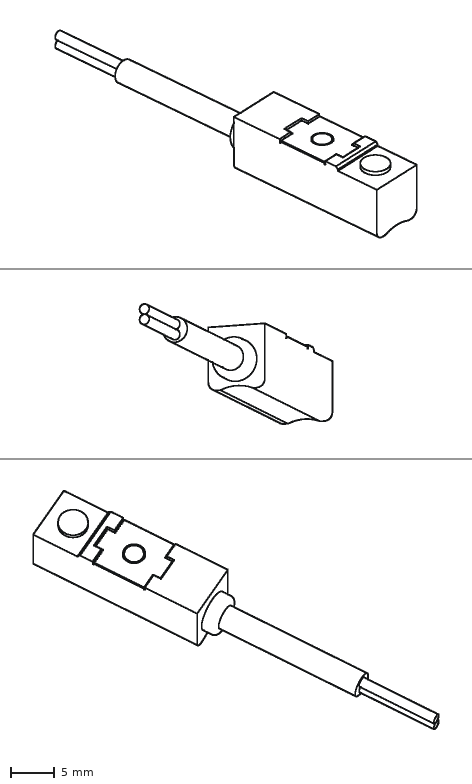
import cadquery as cq

housing_length = 22.0
housing_width = 7.0
housing_height = 7.5
bottom_corner_radius = 1.0
bottom_groove_width = 4.0
bottom_groove_depth = 0.4

step_start = 16.0
step_floor = 7.0
step_edge_chamfer = 0.3
button_diameter = 3.5
button_x = 18.7

cover_x = 10.53
recess_floor = 7.0
recess_length = 7.0
recess_tab_span = 9.0
recess_tab_width = 3.0
cover_clearance = 0.15
cover_top = 7.3
cover_side_chamfer = 0.1
screw_hole_diameter = 2.6
screw_diameter = 2.3

cable_axis_z = 3.4
boot_diameter = 5.0
boot_length = 1.7
boot_edge_radius = 0.5
cable_diameter = 3.0
cable_length = 20.0
wire_diameter = 1.2
wire_length = 10.0
wire_gap = 0.02
wire_spacing = wire_diameter + wire_gap


def box(x_start, x_end, width, z_start, z_end):
    """Box centred on Y = 0 between the given X and Z limits."""
    size = (x_end - x_start, width, z_end - z_start)
    return cq.Workplane("XY").box(*size, centered=(False, True, False)).translate((x_start, 0, z_start))


def upright_cylinder(x, diameter, z_start, z_end):
    """Vertical cylinder on the housing centre plane."""
    return cq.Workplane("XY", origin=(x, 0, z_start)).circle(diameter / 2).extrude(z_end - z_start)


def cable_cylinder(diameter, length, z, start=0.0):
    """Cylinder running in -X from X = -start."""
    return cq.Workplane("YZ", origin=(-start, 0, z)).circle(diameter / 2).extrude(-length)


def cross(clearance, z_start, z_end):
    """Cross with its ends and tab sides drawn in by a clearance, full housing width in Y."""
    half_length = recess_length / 2 - clearance
    half_tabs = recess_tab_span / 2 - clearance
    main = box(cover_x - half_length, cover_x + half_length, housing_width, z_start, z_end)
    tabs = box(cover_x - half_tabs, cover_x + half_tabs, recess_tab_width - 2 * clearance, z_start, z_end)
    return main.union(tabs)


def make_housing():
    """Block with rounded lower edges, a shallow groove underneath and a lowered end."""
    block = box(0, housing_length, housing_width, 0, housing_height)
    block = block.edges("|X and <Z").fillet(bottom_corner_radius)
    block = block.cut(box(step_start, housing_length, housing_width, step_floor, housing_height))
    step_edge = cq.selectors.NearestToPointSelector((step_start, 0, housing_height))
    block = block.edges(step_edge).chamfer(step_edge_chamfer)
    groove = (
        cq.Workplane("YZ")
        .moveTo(-bottom_groove_width / 2, 0)
        .threePointArc((0, bottom_groove_depth), (bottom_groove_width / 2, 0))
        .close()
        .extrude(housing_length)
    )
    return block.cut(groove)


def make_cover():
    """Cover plate with a screw head flush in its hole."""
    plate = cross(cover_clearance, recess_floor, cover_top)
    plate = plate.faces(">Y or <Y").edges(">Z").chamfer(cover_side_chamfer)
    plate = plate.cut(upright_cylinder(cover_x, screw_hole_diameter, recess_floor, cover_top))
    return plate.union(upright_cylinder(cover_x, screw_diameter, recess_floor, cover_top))


def make_cable():
    """Boot, cable sheath and wires."""
    boot = cable_cylinder(boot_diameter, boot_length, cable_axis_z)
    boot = boot.faces("<X").edges().fillet(boot_edge_radius)
    cable = boot.union(cable_cylinder(cable_diameter, cable_length, cable_axis_z))
    for side in (-1, 1):
        wire_z = cable_axis_z + side * wire_spacing / 2
        cable = cable.union(cable_cylinder(wire_diameter, wire_length, wire_z, cable_length))
    return cable


result = make_housing().cut(cross(0, recess_floor, housing_height))
result = result.union(make_cover())
result = result.union(upright_cylinder(button_x, button_diameter, step_floor, housing_height))
result = result.union(make_cable())